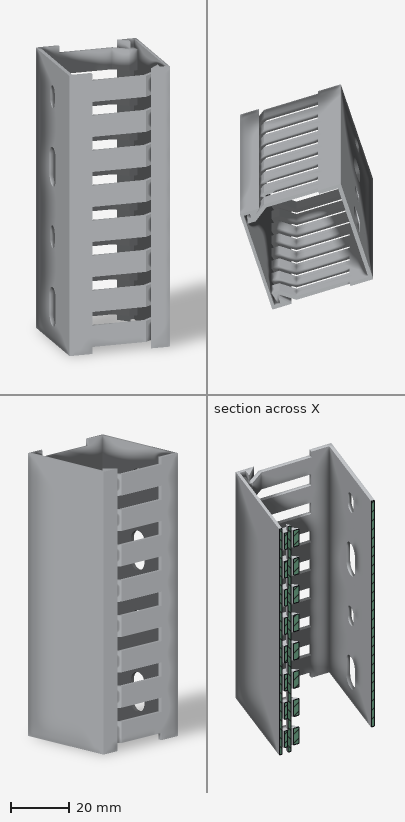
import cadquery as cq

length = 100.0
width = 36.5
depth = 36.3
half_width = width / 2

base_thickness = 1.4
wall_thickness = 1.3
solid_wall_height = 8.2
base_corner_radius = 0.2
hook_tip_radius = 0.3
edge_margin = 0.05

finger_count = 8
finger_pitch = length / finger_count
finger_gap = 5.0
bend_y = 27.6
inner_bend_y = 27.2
neck_x = half_width - 5.0
neck_y = 32.2
throat_x = half_width - 3.8
hook_tip_x = half_width - 1.0
hook_seat_y = 33.0
hook_tip_top_y = 34.1
hook_root_top_y = 35.1

cover_thickness = 1.1
cover_lip_y = depth - 6.9
rim_edge_x = half_width - 3.7

slot_pitch = 25.0
first_slot_z = slot_pitch / 2
slot_pair_count = 2
large_slot_length = 14.0
large_slot_width = 6.5
small_slot_length = 8.0
small_slot_width = 4.5


def mirrored_profile(half_outline):
    """Close a right-hand half outline with its mirror image across the Y axis."""
    left_half = [(-x, y) for x, y in reversed(half_outline)]
    return cq.Workplane("XY").polyline(half_outline + left_half).close()


def upright_edges(x, low_y, high_y):
    """Selector for the full-length edges at +x and -x between two Y levels."""
    right = cq.selectors.BoxSelector(
        (x - edge_margin, low_y - edge_margin, 0), (x + edge_margin, high_y + edge_margin, length)
    )
    left = cq.selectors.BoxSelector(
        (-x - edge_margin, low_y - edge_margin, 0), (-x + edge_margin, high_y + edge_margin, length)
    )
    return right + left


def round_base_corners(channel):
    corners = upright_edges(half_width, 0, 0)
    return channel.edges("|Z").edges(corners).fillet(base_corner_radius)


def round_hook_tips(channel):
    tips = upright_edges(hook_tip_x, hook_seat_y, hook_tip_top_y)
    return channel.edges("|Z").edges(tips).fillet(hook_tip_radius)


def duct_channel():
    """Full-length U channel including the hooked wall tops."""
    half_outline = [
        (half_width, 0),
        (half_width, bend_y),
        (throat_x, hook_seat_y),
        (hook_tip_x, hook_seat_y),
        (hook_tip_x, hook_tip_top_y),
        (neck_x, hook_root_top_y),
        (neck_x, neck_y),
        (half_width - wall_thickness, inner_bend_y),
        (half_width - wall_thickness, base_thickness),
    ]
    channel = mirrored_profile(half_outline).extrude(length)
    return round_hook_tips(round_base_corners(channel))


def finger_gaps():
    """Bars that separate the fingers; the end ones leave half a gap at each end."""
    gap_height = depth - solid_wall_height
    centres = [(0, i * finger_pitch) for i in range(finger_count + 1)]
    return (
        cq.Workplane("XZ", origin=(0, solid_wall_height, 0))
        .pushPoints(centres)
        .rect(width, finger_gap)
        .extrude(-gap_height)
    )


def base_slots(first_z, slot_length, slot_width):
    """Upright slots through the base, one for each slot pair."""
    centres = [(0, first_z + i * 2 * slot_pitch) for i in range(slot_pair_count)]
    return (
        cq.Workplane("XZ")
        .pushPoints(centres)
        .slot2D(slot_length, slot_width, 90)
        .extrude(-base_thickness)
    )


def make_duct():
    large_slots = base_slots(first_slot_z, large_slot_length, large_slot_width)
    small_slots = base_slots(first_slot_z + slot_pitch, small_slot_length, small_slot_width)
    return duct_channel().cut(finger_gaps()).cut(large_slots).cut(small_slots)


def make_cover():
    """Flat lid with a wedge-shaped rim along each side that the hooks catch on."""
    half_outline = [
        (half_width, depth),
        (half_width, cover_lip_y),
        (rim_edge_x, hook_seat_y),
        (hook_tip_x, hook_seat_y),
        (hook_tip_x, depth - cover_thickness),
    ]
    return mirrored_profile(half_outline).extrude(length)


duct = make_duct()
cover = make_cover()

result = cq.Compound.makeCompound([duct.val(), cover.val()])